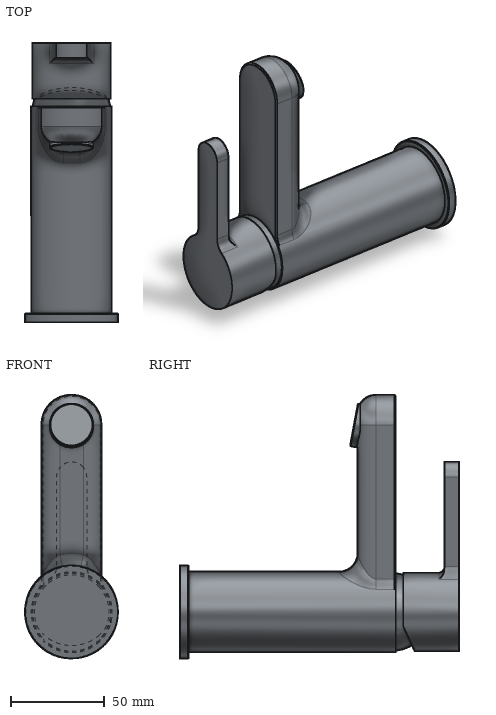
import cadquery as cq
import math

total_length = 149.2
flange_radius = 24.9
flange_thickness = 4.8
flange_chamfer = 0.5
body_radius = 21.6
body_end = 115.3

ball_radius = 20.9
ball_center = 113.0
cap_radius = 21.0
cap_start = 119.3
relief_top = -7.8
relief_run = 6.1

lever_half_width = 8.0
lever_thickness = 7.9
lever_top = 80.2
flare_radius = 8.5
cove_radius = 3.0

spout_half_width = 16.1
spout_depth = 20.5
spout_top = 116.0
spout_edge_radius = 9.8
spout_back_chamfer = 0.7
root_fillet = 9.7
margin = 0.3

outlet_radius = 11.6
outlet_face_y = 92.9
outlet_tilt = 10.4
outlet_length = 9.0
outlet_chamfer = 0.5


def cylinder_along_y(radius, start, end):
    return cq.Workplane("XZ", origin=(0, start, 0)).circle(radius).extrude(start - end)


def rounded_bar(half_width, top, start, end):
    """Upright bar with a semicircular top, standing on the body axis."""
    shoulder = top - half_width
    return (
        cq.Workplane("XZ", origin=(0, start, 0))
        .moveTo(-half_width, 0)
        .lineTo(-half_width, shoulder)
        .threePointArc((0, top), (half_width, shoulder))
        .lineTo(half_width, 0)
        .close()
        .extrude(start - end)
    )


def make_spout_and_body():
    body = cylinder_along_y(body_radius, 0, body_end)
    front = body_end - spout_depth
    spout = rounded_bar(spout_half_width, spout_top, front, body_end)
    spout = spout.faces("<Y").edges("not <Z").fillet(spout_edge_radius)
    joined = body.union(spout)
    root_zone = cq.selectors.BoxSelector(
        (-body_radius, front - margin, margin),
        (body_radius, body_end - margin, body_radius + margin),
    )
    blended = joined.edges(root_zone).fillet(root_fillet)
    chamfered = blended.faces(">Y").edges(">Z").chamfer(spout_back_chamfer)
    return chamfered.union(body)


def make_flange():
    return cylinder_along_y(flange_radius, 0, flange_thickness).faces(">Y").chamfer(flange_chamfer)


def make_outlet():
    tilt = math.radians(outlet_tilt)
    face = cq.Plane(
        origin=(0, outlet_face_y, spout_top - spout_half_width),
        xDir=(1, 0, 0),
        normal=(0, -math.cos(tilt), math.sin(tilt)),
    )
    disc = cq.Workplane(face).circle(outlet_radius).extrude(-outlet_length)
    return disc.faces("<Y").chamfer(outlet_chamfer)


def make_cap():
    cap = cylinder_along_y(cap_radius, cap_start, total_length)
    relief = (
        cq.Workplane("YZ")
        .moveTo(cap_start, relief_top)
        .lineTo(cap_start + relief_run, -cap_radius)
        .lineTo(cap_start, -cap_radius)
        .close()
        .extrude(cap_radius, both=True)
    )
    return cap.cut(relief)


def make_lever():
    front = total_length - lever_thickness
    bar = rounded_bar(lever_half_width, lever_top, front, total_length)

    center_x = lever_half_width + flare_radius
    center_distance = cap_radius + flare_radius
    center_z = math.sqrt(center_distance**2 - center_x**2)
    foot_x = center_x * cap_radius / center_distance
    foot_z = center_z * cap_radius / center_distance
    foot_angle = math.atan2(center_z, center_x)
    mid_x = center_x - flare_radius * math.cos(foot_angle / 2)
    mid_z = center_z - flare_radius * math.sin(foot_angle / 2)
    flare = (
        cq.Workplane("XZ", origin=(0, total_length, 0))
        .moveTo(-lever_half_width, center_z)
        .threePointArc((-mid_x, mid_z), (-foot_x, foot_z))
        .lineTo(-foot_x, 0)
        .lineTo(foot_x, 0)
        .lineTo(foot_x, foot_z)
        .threePointArc((mid_x, mid_z), (lever_half_width, center_z))
        .close()
        .extrude(lever_thickness + cove_radius)
    )
    cove_top = cap_radius + cove_radius
    bend = cove_radius * math.sqrt(0.5)
    flare_limit = (
        cq.Workplane("XY")
        .moveTo(0, total_length)
        .lineTo(center_z + lever_half_width, total_length)
        .lineTo(center_z + lever_half_width, front)
        .lineTo(cove_top, front)
        .threePointArc((cove_top - bend, front - cove_radius + bend), (cap_radius, front - cove_radius))
        .lineTo(0, front - cove_radius)
        .close()
        .revolve(360, (0, 0, 0), (0, 1, 0))
    )
    return bar.union(flare.intersect(flare_limit))


ball = cq.Workplane("XY").sphere(ball_radius).translate((0, ball_center, 0))
result = (
    make_spout_and_body()
    .union(make_flange())
    .union(make_outlet())
    .union(ball)
    .union(make_cap())
    .union(make_lever())
)